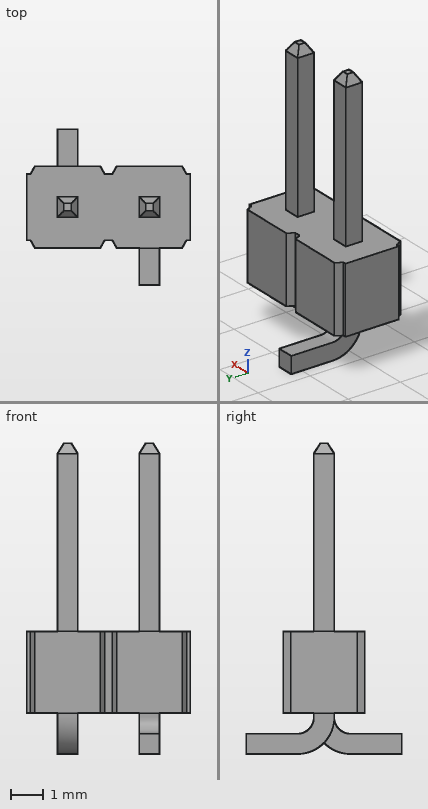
import cadquery as cq

pitch = 2.54
pin_count = 2
pin_width = 0.64
total_height = 9.65
foot_span = 4.83
bend_radius = 0.5
tip_height = 0.33
tip_width = 0.23
housing_base = 1.27
notch_depth = 0.24
notch_floor_half = 0.12
notch_mouth_half = 0.25

foot_reach = foot_span / 2
half_pin = pin_width / 2
half_depth = pitch / 2
housing_length = pin_count * pitch
bend_top = pin_width + bend_radius
bend_mid = bend_radius + half_pin
shank_top = total_height - tip_height


def make_housing():
    """Block with trapezoidal notches at both ends and between the cells."""
    block = cq.Workplane("XY").box(housing_length, pitch, pitch, centered=(True, True, False))
    for boundary in range(pin_count + 1):
        x = boundary * pitch - housing_length / 2
        for side in (-1, 1):
            mouth_y = side * half_depth
            floor_y = side * (half_depth - notch_depth)
            notch = (
                cq.Workplane("XY")
                .polyline([
                    (x - notch_mouth_half, mouth_y),
                    (x - notch_floor_half, floor_y),
                    (x + notch_floor_half, floor_y),
                    (x + notch_mouth_half, mouth_y),
                ])
                .close()
                .extrude(pitch)
            )
            block = block.cut(notch)
    return block.translate((0, 0, housing_base))


def make_pin():
    """Square pin on the Z axis, bent at the bottom into a foot along +Y."""
    path = (
        cq.Workplane("YZ")
        .moveTo(foot_reach, half_pin)
        .lineTo(bend_mid, half_pin)
        .radiusArc((0, bend_top), bend_mid)
        .lineTo(0, shank_top)
    )
    shank = (
        cq.Workplane("XZ", origin=(0, foot_reach, half_pin))
        .rect(pin_width, pin_width)
        .sweep(path)
    )
    tip = (
        cq.Workplane("XY", origin=(0, 0, shank_top))
        .rect(pin_width, pin_width)
        .workplane(offset=tip_height)
        .rect(tip_width, tip_width)
        .loft()
    )
    return shank.union(tip)


result = make_housing()
for index in range(pin_count):
    turn = 180 * (index % 2)
    pin_x = (index + 0.5) * pitch - housing_length / 2
    pin = make_pin().rotate((0, 0, 0), (0, 0, 1), turn)
    result = result.union(pin.translate((pin_x, 0, 0)))